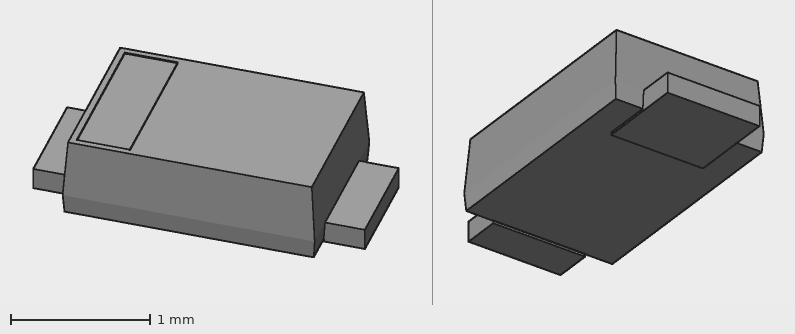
import cadquery as cq
import math

overall_length = 2.5
overall_height = 0.62

body_length = 1.9
body_width = 1.3
body_standoff = 0.02
draft_angle = 4.0

lead_width = 0.805
lead_thickness = 0.17
cathode_lead_length = 0.71
anode_lead_length = 0.31

mark_length = 0.4
mark_width = 1.14
mark_depth = 0.01
mark_edge_gap = 0.05

parting_height = lead_thickness
upper_height = overall_height - parting_height
lower_height = parting_height - body_standoff
top_length = body_length - 2 * upper_height * math.tan(math.radians(draft_angle))


def body_half(height):
    """Drafted half of the body; a negative height extrudes downwards."""
    return (
        cq.Workplane("XY", origin=(0, 0, parting_height))
        .rect(body_length, body_width)
        .extrude(height, taper=draft_angle)
    )


def lead(length, side):
    """Flat lead reaching inwards from the end on the given side (-1 or 1) of X."""
    center_x = side * (overall_length - length) / 2
    return cq.Workplane("XY").center(center_x, 0).rect(length, lead_width).extrude(lead_thickness)


def cathode_mark():
    """Block removed from the top face beside the cathode end."""
    center_x = -top_length / 2 + mark_edge_gap + mark_length / 2
    return (
        cq.Workplane("XY", origin=(center_x, 0, overall_height - mark_depth))
        .rect(mark_length, mark_width)
        .extrude(mark_depth)
    )


body = body_half(upper_height).union(body_half(-lower_height))
leads = lead(cathode_lead_length, -1).union(lead(anode_lead_length, 1))
result = body.union(leads).cut(cathode_mark())